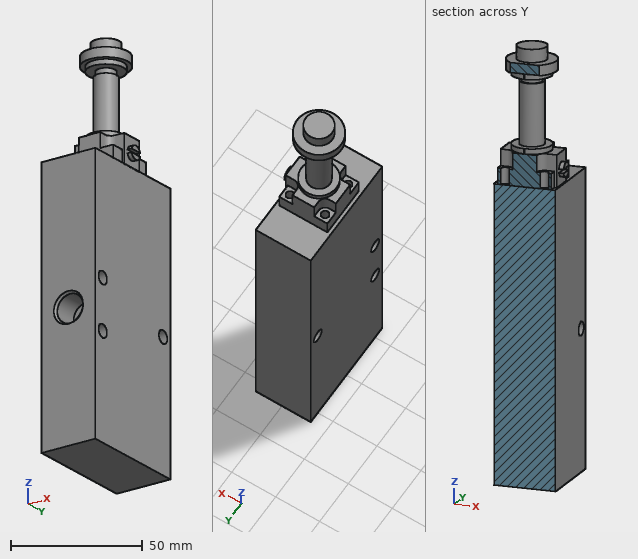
import cadquery as cq

HOUSING_X = 25.0
HOUSING_Y = 50.0
HOUSING_Z = 119.9
PORT_Z = 57.0

PORT_DIAMETER = 12.0
PORT_MOUTH_DIAMETER = 13.5
PORT_CHAMFER = 1.2
PORT_DEPTH = 12.0

MOUNT_DIAMETER = 5.5
MOUNT_Y = 20.0
MOUNT_Z_OFFSET = 11.0

BASE_WIDTH = 22.0
BASE_HEIGHT = 13.0
ARM_WIDTH = 10.0
POCKET_FLOOR = 6.5
SCREW_OFFSET = 8.0
SCREW_DIAMETER = 3.3
POCKET_RADIUS = SCREW_OFFSET - ARM_WIDTH / 2

PAD_FACE_X = 12.0
OVERRIDE_DIAMETER = 6.0
OVERALL_X = 26.5
OVERRIDE_END_X = OVERALL_X - HOUSING_X / 2
OVERRIDE_HEIGHT = 6.1
SLOT_WIDTH = 1.5

COLLAR_DIAMETER = 16.0
COLLAR_HEIGHT = 2.1
STEM_DIAMETER = 10.0
STEM_HEIGHT = 25.0
NECK_DIAMETER = 8.4
NECK_HEIGHT = 2.5
NUT_DIAMETER = 20.0
NUT_HEIGHT = 4.2
CAP_DIAMETER = 12.0
TOTAL_HEIGHT = 174.0
CAP_HEIGHT = (TOTAL_HEIGHT - HOUSING_Z - BASE_HEIGHT - 2 * COLLAR_HEIGHT
              - STEM_HEIGHT - NECK_HEIGHT - NUT_HEIGHT)


def make_housing():
    """Rectangular valve block with a chamfered blind port and three mounting holes."""
    block = cq.Workplane("XY").box(HOUSING_X, HOUSING_Y, HOUSING_Z, centered=(True, True, False))
    port = (
        cq.Workplane("XZ", origin=(0, -HOUSING_Y / 2, PORT_Z))
        .circle(PORT_DIAMETER / 2)
        .extrude(-PORT_DEPTH)
    )
    mouth = (
        cq.Workplane("XZ", origin=(0, -HOUSING_Y / 2, PORT_Z))
        .circle(PORT_MOUTH_DIAMETER / 2)
        .workplane(offset=-PORT_CHAMFER)
        .circle(PORT_DIAMETER / 2)
        .loft(ruled=True)
    )
    mounting_holes = (
        cq.Workplane("YZ", origin=(-HOUSING_X / 2, 0, PORT_Z))
        .pushPoints([(MOUNT_Y, 0), (-MOUNT_Y, MOUNT_Z_OFFSET), (-MOUNT_Y, -MOUNT_Z_OFFSET)])
        .circle(MOUNT_DIAMETER / 2)
        .extrude(HOUSING_X)
    )
    return block.cut(port).cut(mouth).cut(mounting_holes)


def make_corner_pocket():
    """Cutter for the +X +Y corner, rounded around the screw hole on its inner edge."""
    inner = ARM_WIDTH / 2
    pocket_size = PAD_FACE_X - inner
    return (
        cq.Workplane("XY", origin=(inner, inner, HOUSING_Z + POCKET_FLOOR))
        .box(pocket_size, pocket_size, BASE_HEIGHT - POCKET_FLOOR, centered=False)
        .edges("|Z and <X and <Y")
        .fillet(POCKET_RADIUS)
    )


def make_base():
    """Square base with a side pad, four corner pockets and their screw holes."""
    base = cq.Workplane("XY", origin=(0, 0, HOUSING_Z)).box(
        BASE_WIDTH, BASE_WIDTH, BASE_HEIGHT, centered=(True, True, False)
    )
    pad = cq.Workplane("XY", origin=(PAD_FACE_X / 2, 0, HOUSING_Z)).box(
        PAD_FACE_X, ARM_WIDTH, BASE_HEIGHT, centered=(True, True, False)
    )
    base = base.union(pad)
    pocket = make_corner_pocket()
    for quarter_turn in range(4):
        base = base.cut(pocket.rotate((0, 0, 0), (0, 0, 1), 90 * quarter_turn))
    screw_holes = (
        cq.Workplane("XY", origin=(0, 0, HOUSING_Z))
        .rect(2 * SCREW_OFFSET, 2 * SCREW_OFFSET, forConstruction=True)
        .vertices()
        .circle(SCREW_DIAMETER / 2)
        .extrude(BASE_HEIGHT)
    )
    return base.cut(screw_holes)


def make_override_screw():
    """Screw head on the pad, split by a slot along Y down to the pad face."""
    length = OVERRIDE_END_X - PAD_FACE_X
    head = (
        cq.Workplane("YZ", origin=(PAD_FACE_X, 0, HOUSING_Z + OVERRIDE_HEIGHT))
        .circle(OVERRIDE_DIAMETER / 2)
        .extrude(length)
    )
    slot = cq.Workplane("XY", origin=(PAD_FACE_X + length / 2, 0, HOUSING_Z + OVERRIDE_HEIGHT)).box(
        length, OVERRIDE_DIAMETER, SLOT_WIDTH
    )
    return head.cut(slot)


def make_operator():
    """Pilot operator: base, override screw and the stepped round stem, as one solid."""
    operator = make_base().union(make_override_screw())
    stem_steps = [
        (COLLAR_DIAMETER, COLLAR_HEIGHT),
        (STEM_DIAMETER, STEM_HEIGHT),
        (NECK_DIAMETER, NECK_HEIGHT),
        (COLLAR_DIAMETER, COLLAR_HEIGHT),
        (NUT_DIAMETER, NUT_HEIGHT),
        (CAP_DIAMETER, CAP_HEIGHT),
    ]
    step_z = HOUSING_Z + BASE_HEIGHT
    for diameter, height in stem_steps:
        step = cq.Workplane("XY", origin=(0, 0, step_z)).circle(diameter / 2).extrude(height)
        operator = operator.union(step)
        step_z += height
    return operator


housing = make_housing()
operator = make_operator()

result = cq.Compound.makeCompound([housing.val(), operator.val()])